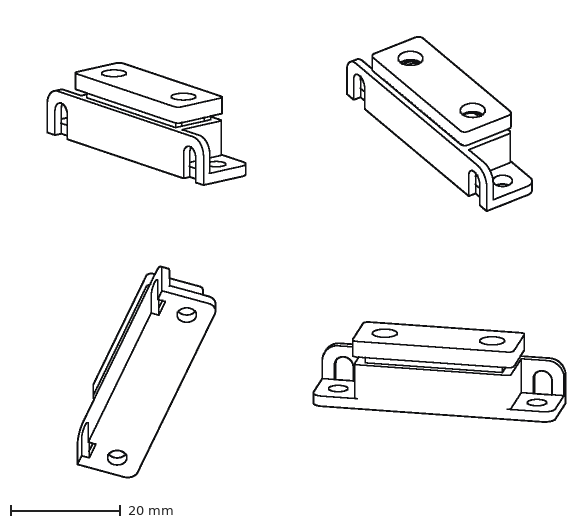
import cadquery as cq

length = 45.0
depth = 11.0

base_height = 8.5
foot_thickness = 2.0
foot_corner_radius = 2.0
flange_thickness = 1.5
flange_corner_radius = 3.0
block_length = 29.1
block_corner_radius = 0.6

mount_diameter = 3.5
mount_offset = length / 2 - 4.0
mount_y = 6.25
slot_top = 6.45

bar_length = 25.5
bar_thickness = 1.5
bar_height = 1.5
bar_gap = 5.25
magnet_height = 0.95

plate_length = 30.0
plate_thickness = 3.0
plate_corner_radius = 1.0
plate_hole_diameter = 4.5
plate_hole_spacing = 20.0
countersink_depth = 1.15
countersink_diameter = plate_hole_diameter + 2 * countersink_depth

mid_y = depth / 2
plate_bottom = base_height + bar_height


def box(size_x, size_y, size_z, y_start, z_start):
    """Box centred on X, starting at the given Y and Z."""
    return (
        cq.Workplane("XY")
        .box(size_x, size_y, size_z, centered=(True, False, False))
        .translate((0, y_start, z_start))
    )


def make_bracket():
    foot = box(length, depth, foot_thickness, 0, 0).edges("|Z and >Y").fillet(foot_corner_radius)
    flange = box(length, flange_thickness, base_height, 0, 0)
    flange = flange.edges("|Y and >Z").fillet(flange_corner_radius)
    block = box(block_length, depth, base_height, 0, 0)
    block = block.edges("|Z and >Y").fillet(block_corner_radius)
    bracket = foot.union(flange).union(block)

    for x in (-mount_offset, mount_offset):
        hole = cq.Workplane("XY").center(x, mount_y).circle(mount_diameter / 2).extrude(foot_thickness)
        bracket = bracket.cut(hole).cut(make_flange_slot(x))
    return bracket


def make_flange_slot(x):
    """Round-topped slot through the flange, open at the bottom."""
    radius = mount_diameter / 2
    arc_center_z = slot_top - radius
    return (
        cq.Workplane("XZ")
        .moveTo(x - radius, 0)
        .lineTo(x - radius, arc_center_z)
        .threePointArc((x, slot_top), (x + radius, arc_center_z))
        .lineTo(x + radius, 0)
        .close()
        .extrude(-flange_thickness)
    )


def make_pole_bar(y_start):
    return box(bar_length, bar_thickness, bar_height, y_start, base_height)


def make_magnet():
    return box(bar_length, bar_gap, magnet_height, mid_y - bar_gap / 2, base_height)


def make_plate():
    """Plate with two through holes, countersunk from below."""
    plate = box(plate_length, depth, plate_thickness, 0, plate_bottom)
    plate = plate.edges("|Z").fillet(plate_corner_radius)
    hole_centers = [(-plate_hole_spacing / 2, 0), (plate_hole_spacing / 2, 0)]
    return (
        plate.faces("<Z")
        .workplane(origin=(0, mid_y, plate_bottom))
        .pushPoints(hole_centers)
        .cskHole(plate_hole_diameter, countersink_diameter, 90)
    )


bracket = make_bracket()
magnet = make_magnet()
pole_bars = [make_pole_bar(y) for y in (mid_y - bar_gap / 2 - bar_thickness, mid_y + bar_gap / 2)]
plate = make_plate()

result = cq.Compound.makeCompound(
    [bracket.val(), magnet.val(), *[bar.val() for bar in pole_bars], plate.val()]
)